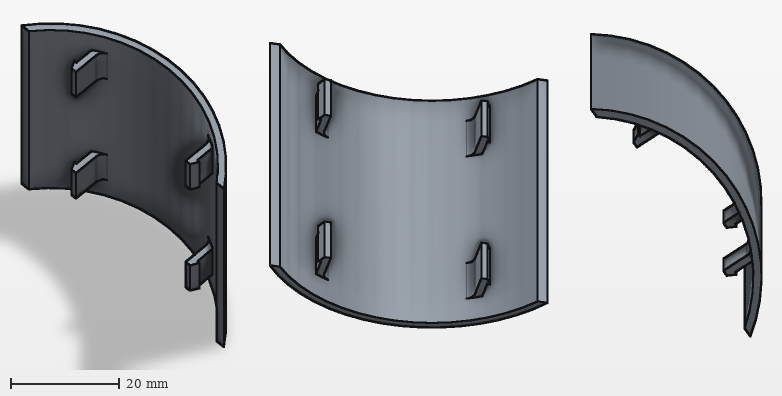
import cadquery as cq
import math

width = 52.7
rise = 13.6
height = 50.0
wall = 1.55

clip_height = 8.0
clip_end_margin = 5.0
stem_outer_x = 15.75
stem_thickness = 1.5
tip_y = 2.1
barb_y = 3.75
barb_depth = 0.55
tip_inset = 0.3
root_fillet = 2.0

half_width = width / 2
outer_radius = (half_width**2 + rise**2) / (2 * rise)
inner_radius = outer_radius - wall
center_y = rise - outer_radius
inner_half_width = math.sqrt(inner_radius**2 - center_y**2)
stem_inner_x = stem_outer_x - stem_thickness


def mid_wall_y(x):
    """Height of the shell's mid-surface at a given X."""
    mid_radius = outer_radius - wall / 2
    return center_y + math.sqrt(mid_radius**2 - x**2)


def make_shell():
    return (
        cq.Workplane("XY")
        .moveTo(-half_width, 0)
        .threePointArc((0, rise), (half_width, 0))
        .lineTo(inner_half_width, 0)
        .threePointArc((0, rise - wall), (-inner_half_width, 0))
        .close()
        .extrude(height)
    )


def make_clip(bottom_z):
    """Clip on the +X side, its barb pointing outward and its root buried in the wall."""
    return (
        cq.Workplane("XY", origin=(0, 0, bottom_z))
        .moveTo(stem_inner_x, mid_wall_y(stem_inner_x))
        .lineTo(stem_inner_x, tip_y)
        .lineTo(stem_outer_x - tip_inset, tip_y)
        .lineTo(stem_outer_x + barb_depth, barb_y)
        .lineTo(stem_outer_x, barb_y)
        .lineTo(stem_outer_x, mid_wall_y(stem_outer_x))
        .close()
        .extrude(clip_height)
    )


result = make_shell()
for clip_z in (clip_end_margin, height - clip_end_margin - clip_height):
    clip = make_clip(clip_z)
    result = result.union(clip).union(clip.mirror("YZ"))

root_y = center_y + math.sqrt(inner_radius**2 - stem_inner_x**2)
selection_margin = 0.25
root_zone = cq.selectors.BoxSelector(
    (-stem_inner_x - selection_margin, root_y - selection_margin, 0),
    (stem_inner_x + selection_margin, root_y + selection_margin, height),
)
result = result.edges("|Z").edges(root_zone).fillet(root_fillet)